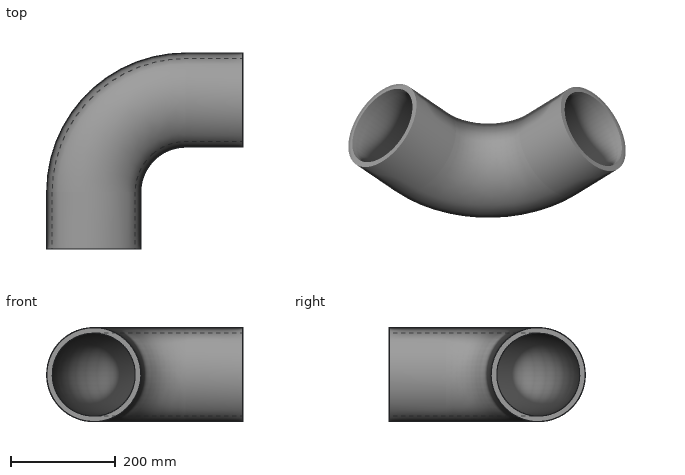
import cadquery as cq

outer_diameter = 180.0
bore_diameter = 158.6
end_to_axis = 285.0
spigot_length = 109.0
bend_angle = 90.0

bend_radius = end_to_axis - spigot_length

front_joint = (-bend_radius, 0, 0)
side_joint = (0, bend_radius, 0)
toward_front = (0, -1, 0)
toward_side = (1, 0, 0)


def pipe_section(centre, direction):
    """Ring-shaped pipe wall section facing the given direction, with local x along Z."""
    plane = cq.Plane(origin=centre, xDir=(0, 0, 1), normal=direction)
    return cq.Workplane(plane).circle(outer_diameter / 2).circle(bore_diameter / 2)


def make_spigot(joint, direction):
    """Straight pipe running from a joint to its open end."""
    return pipe_section(joint, direction).extrude(spigot_length)


def make_bend():
    """Pipe bend swept from the front joint to the side joint."""
    axis_start = (0, -bend_radius)
    axis_end = (-1, -bend_radius)
    return pipe_section(front_joint, toward_front).revolve(bend_angle, axis_start, axis_end)


front_spigot = make_spigot(front_joint, toward_front)
side_spigot = make_spigot(side_joint, toward_side)

result = make_bend().union(front_spigot).union(side_spigot)